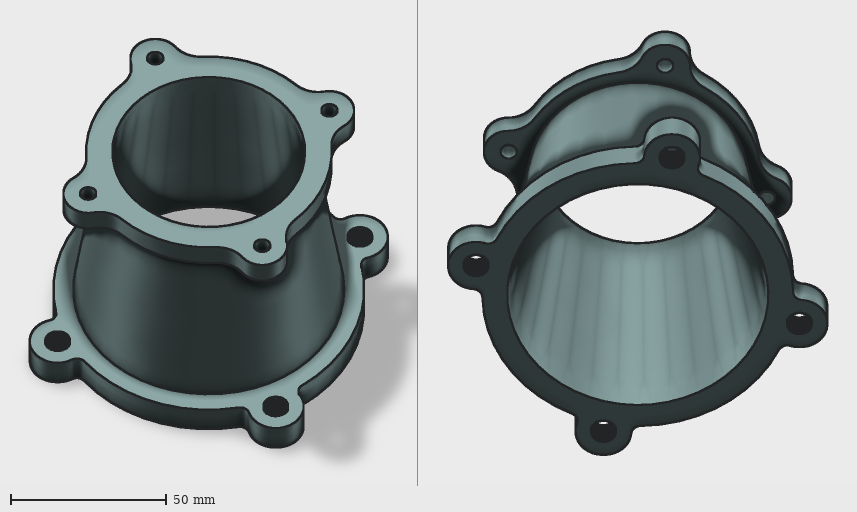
import cadquery as cq
import math

total_height = 80.0
base_thickness = 10.0
top_thickness = 8.0
top_flange_z = total_height - top_thickness

wall = 3.0
bottom_bore_radius = 42.0
top_bore_radius = 31.0

base_ring_radius = 50.0
base_bolt_offset = 37.6
base_lobe_radius = 9.0
base_fillet_radius = 3.0

top_ring_radius = 39.5
top_bolt_offset = 30.0
top_lobe_radius = 8.0
top_fillet_radius = 10.0
top_hole_radius = 2.6

base_hole_radius = 4.0
thread_pitch = 1.25
thread_turns = 7
thread_start_angle = 90.0
thread_depth = 0.65
groove_width = 0.9 * thread_pitch
groove_overlap = 0.2

lobe_count = 4
lobe_spacing = 360.0 / lobe_count
lobe_angles = [(i + 0.5) * lobe_spacing for i in range(lobe_count)]


def polar(radius, degrees):
    """Point at a distance and direction from the axis."""
    angle = math.radians(degrees)
    return (radius * math.cos(angle), radius * math.sin(angle))


def toward(start, target, distance):
    """Point at a distance from start, in the direction of target."""
    ratio = distance / math.dist(start, target)
    return tuple(s + ratio * (t - s) for s, t in zip(start, target))


def flange(ring_radius, bolt_offset, lobe_radius, fillet_radius, thickness):
    """Round plate with bolt lobes, blended to the ring by tangent concave arcs."""
    lobe_distance = math.hypot(bolt_offset, bolt_offset)
    fillet_distance = ring_radius + fillet_radius
    lobe_to_fillet = lobe_radius + fillet_radius
    squares = lobe_distance**2 + fillet_distance**2 - lobe_to_fillet**2
    spread = math.degrees(math.acos(squares / (2 * lobe_distance * fillet_distance)))

    outline = cq.Workplane("XY").moveTo(*polar(ring_radius, lobe_angles[0] - spread))
    for angle in lobe_angles:
        lobe_center = polar(lobe_distance, angle)
        lobe_tip = polar(lobe_distance + lobe_radius, angle)
        lobe_root = polar(lobe_distance - lobe_radius, angle)
        first_fillet = polar(fillet_distance, angle - spread)
        second_fillet = polar(fillet_distance, angle + spread)
        lobe_start = toward(first_fillet, lobe_center, fillet_radius)
        lobe_end = toward(second_fillet, lobe_center, fillet_radius)
        ring_start = polar(ring_radius, angle + spread)
        ring_middle = polar(ring_radius, angle + lobe_spacing / 2)
        ring_end = polar(ring_radius, angle + lobe_spacing - spread)
        outline = (
            outline
            .threePointArc(toward(first_fillet, lobe_root, fillet_radius), lobe_start)
            .threePointArc(lobe_tip, lobe_end)
            .threePointArc(toward(second_fillet, lobe_root, fillet_radius), ring_start)
            .threePointArc(ring_middle, ring_end)
        )
    return outline.close().extrude(thickness)


def cone(bottom_radius, top_radius):
    """Truncated cone over the full height."""
    return (
        cq.Workplane("XZ")
        .polyline([(0, 0), (bottom_radius, 0), (top_radius, total_height), (0, total_height)])
        .close()
        .revolve(360, (0, 0), (0, 1))
    )


def bolt_points(offset):
    """Hole centres on the diagonals."""
    return [(x, y) for x in (-offset, offset) for y in (-offset, offset)]


def plain_hole_cutter():
    """Rods for the through holes of the top flange."""
    return (
        cq.Workplane("XY", origin=(0, 0, top_flange_z))
        .pushPoints(bolt_points(top_bolt_offset))
        .circle(top_hole_radius)
        .extrude(top_thickness)
    )


def threaded_hole_cutter():
    """Rod on the Z axis with a helical V ridge that stops just inside both faces of the base flange."""
    rod = cq.Workplane("XY").circle(base_hole_radius).extrude(base_thickness)
    ridge_height = thread_turns * thread_pitch
    helix = cq.Wire.makeHelix(thread_pitch, ridge_height, base_hole_radius)
    ridge = (
        cq.Workplane("XZ")
        .polyline([
            (base_hole_radius - groove_overlap, -groove_width / 2),
            (base_hole_radius + thread_depth, 0),
            (base_hole_radius - groove_overlap, groove_width / 2),
        ])
        .close()
        .sweep(cq.Workplane(obj=helix), isFrenet=True)
        .rotate((0, 0, 0), (0, 0, 1), thread_start_angle)
        .translate((0, 0, (base_thickness - ridge_height) / 2))
    )
    return rod.union(ridge)


base_flange = flange(base_ring_radius, base_bolt_offset, base_lobe_radius, base_fillet_radius, base_thickness)
top_flange = flange(top_ring_radius, top_bolt_offset, top_lobe_radius, top_fillet_radius, top_thickness)
tube = cone(bottom_bore_radius + wall, top_bore_radius + wall)
body = base_flange.union(top_flange.translate((0, 0, top_flange_z))).union(tube)

body = body.cut(cone(bottom_bore_radius, top_bore_radius))
body = body.cut(plain_hole_cutter())
threaded_cutter = threaded_hole_cutter()
for x, y in bolt_points(base_bolt_offset):
    body = body.cut(threaded_cutter.translate((x, y, 0)))

result = body